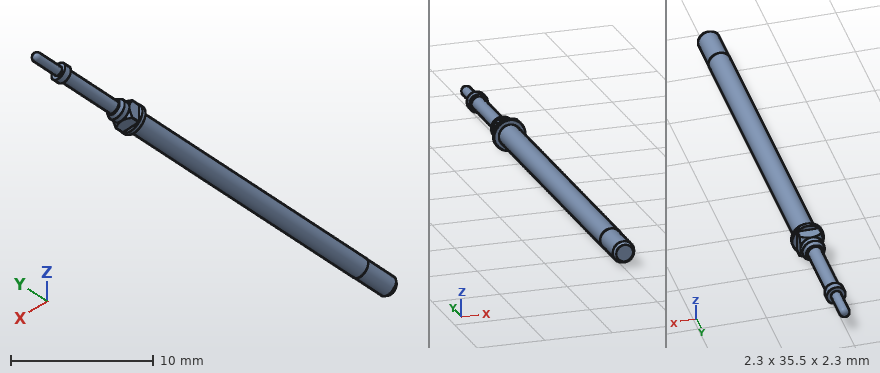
import cadquery as cq

total_length = 35.5
tip_y = total_length / 2
base_y = -total_length / 2

tip_diameter = 0.75
collar_diameter = 1.4
shaft_diameter = 1.03
mouth_diameter = 1.28
body_diameter = 1.65
flange_diameter = 2.3
rear_diameter = 1.6

collar_start = 2.5
collar_length = 0.57
mouth_start = 7.95
mouth_length = 0.32
flange_start = 9.7
flange_length = 0.32

rear_length = 3.0
rear_taper_length = 0.25
rear_face_diameter = 1.25

square_width = body_diameter
square_corner_diameter = 2.27
square_length = 0.67
square_lead_in = 0.3


def cylinder(diameter, start_y, end_y):
    """Round bar on the Y axis from the higher Y, start_y, down to end_y."""
    plane = cq.Workplane("XZ", origin=(0, start_y, 0))
    return plane.circle(diameter / 2).extrude(start_y - end_y)


def cone(start_diameter, end_diameter, start_y, length):
    """Tapered bar on the Y axis running from start_y towards -Y."""
    solid = cq.Solid.makeCone(
        start_diameter / 2, end_diameter / 2, length, cq.Vector(0, start_y, 0), cq.Vector(0, -1, 0)
    )
    return cq.Workplane(obj=solid)


def make_plunger():
    """Thin tip with a hemispherical nose, a collar, and the shaft that enters the barrel."""
    shoulder_y = tip_y - tip_diameter / 2
    collar_y = tip_y - collar_start
    mouth_y = tip_y - mouth_start
    nose = cq.Workplane("XY", origin=(0, shoulder_y, 0)).sphere(tip_diameter / 2)
    tip = cylinder(tip_diameter, shoulder_y, collar_y)
    collar = cylinder(collar_diameter, collar_y, collar_y - collar_length)
    shaft = cylinder(shaft_diameter, collar_y, mouth_y)
    return nose.union(tip).union(collar).union(shaft)


def make_barrel():
    """Barrel with a tapered mouth and a slightly narrower rear section that tapers at its end."""
    mouth_y = tip_y - mouth_start
    front_y = mouth_y - mouth_length
    rear_y = base_y + rear_length
    mouth = cone(mouth_diameter, body_diameter, mouth_y, mouth_length)
    body = cylinder(body_diameter, front_y, rear_y)
    taper_y = base_y + rear_taper_length
    rear = cylinder(rear_diameter, rear_y, taper_y)
    rear_taper = cone(rear_diameter, rear_face_diameter, taper_y, rear_taper_length)
    return mouth.union(body).union(rear).union(rear_taper)


def make_flange():
    flange_y = tip_y - flange_start
    return cylinder(flange_diameter, flange_y, flange_y - flange_length)


def make_square():
    """Square section whose corners are turned off and tapered at the front."""
    back_y = tip_y - flange_start
    front_y = back_y + square_length + square_lead_in
    front_plane = cq.Workplane("XZ", origin=(0, front_y, 0))
    block = front_plane.rect(square_width, square_width).extrude(front_y - back_y)
    taper = cone(square_width, square_corner_diameter, front_y, square_lead_in)
    envelope = taper.union(cylinder(square_corner_diameter, front_y - square_lead_in, back_y))
    return block.intersect(envelope)


result = make_plunger().union(make_barrel()).union(make_flange()).union(make_square())